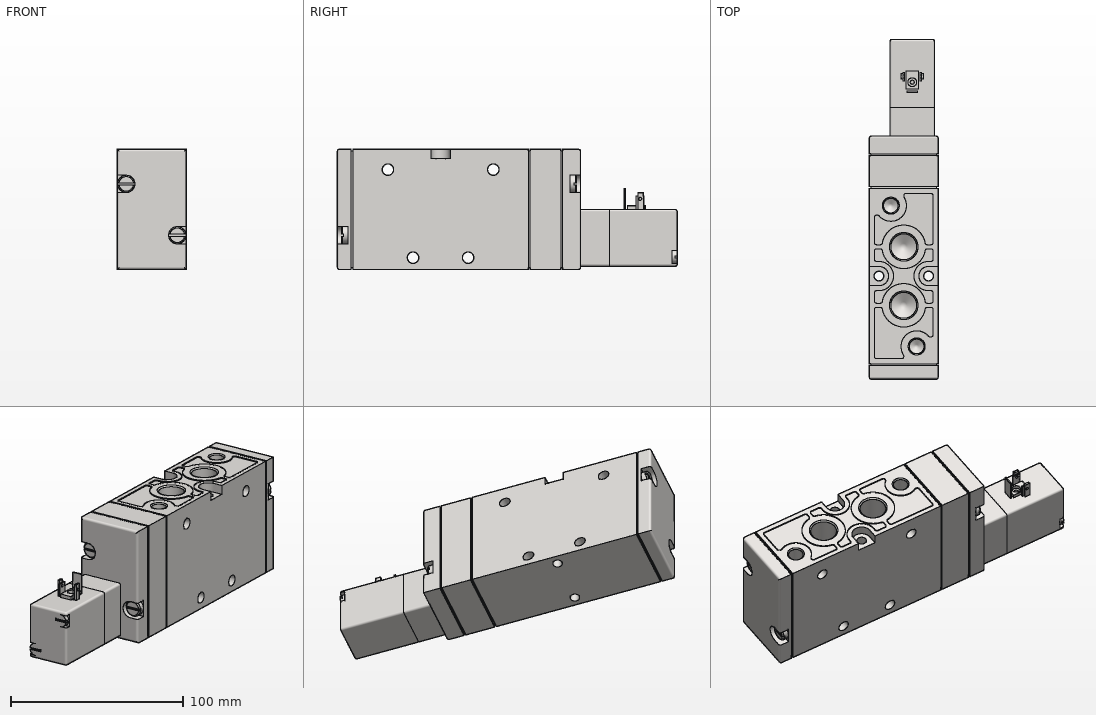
import cadquery as cq
import math

total_length = 197.5
valve_width = 40.0
valve_height = 70.0
valve_edge_radius = 1.4

valve_length = 141.5
cap_length = 8.0
spacer_length = 18.0
rear_cap_length = 10.5
groove_width = 1.0
groove_depth = 1.0
front_groove_y = cap_length
rear_groove_y = valve_length - rear_cap_length - groove_width
middle_groove_y = rear_groove_y - spacer_length - groove_width
block_center_y = (front_groove_y + groove_width + middle_groove_y) / 2

main_port_diameter = 15.0
main_port_rim = 16.5
main_port_offset_y = 17.0
pilot_port_diameter = 8.5
pilot_port_rim = 9.9
pilot_port_offset_x = 7.5
pilot_port_offset_y = 40.9
port_depth = 19.8
drill_point_angle = 118.0

mount_offset_x = 14.5
mount_diameter = 5.5
mount_recess_width = 11.3
mount_recess_depth = 5.5

cross_hole_diameter = 6.5
upper_cross_z = 58.0
upper_cross_offset_y = 30.6
lower_cross_z = 7.0
lower_cross_offset_y = 16.0

sunk_depth = 0.5
sunk_half_width = 17.0
sunk_end_offset = 48.0
main_land_diameter = 25.3
pilot_land_diameter = 18.2
pilot_land_start_offset = 35.4
mount_land_width = 17.0
land_bar_width = 2.4
sunk_corner_radius = 1.2

cap_screw_diameter = 10.0
cap_screw_offset_x = 14.8
cap_screw_high_z = 49.8
cap_screw_low_z = 20.0
cap_recess_depth = 6.1
cap_head_height = 3.8
cap_head_chamfer = 0.8

screw_slot_width = 1.2
screw_slot_depth = 1.4

solenoid_width = 26.0
solenoid_height = 33.2
solenoid_center_x = 5.0
solenoid_bottom_z = 1.8
solenoid_edge_radius = 1.4
seam_y = 158.0
solenoid_center_z = solenoid_bottom_z + solenoid_height / 2
solenoid_top_z = solenoid_bottom_z + solenoid_height

coil_screw_diameter = 7.5
coil_screw_inset = 4.1
coil_screw_offset_z = 11.0
coil_recess_depth = 3.0
coil_head_chamfer = 0

pad_width = 7.1
pad_length = 10.5
pad_height = 2.2
pad_center_y = 173.8
pad_hole_y = 172.6
pad_hole_diameter = 5.1
pad_thread_diameter = 2.4
pad_thread_depth = 6.0

terminal_center_y = 175.8
terminal_offset_x = 4.5
blade_thickness = 0.8
blade_width = 4.7
blade_height = 7.9
strip_center_y = 176.2
strip_thickness = 1.2
strip_width = 3.2
strip_height = 9.7
terminal_hole_diameter = 1.6
terminal_hole_y = 176.0
terminal_hole_height = 6.1

earth_y = 167.0
earth_width = 6.1
earth_thickness = 0.8
earth_height = 12.0


def block(x_size, y_size, z_size, center_x, start_y, bottom_z):
    """Box centred in X on center_x, starting at start_y and standing on bottom_z."""
    box = cq.Workplane("XY").box(x_size, y_size, z_size, centered=(True, False, False))
    return box.translate((center_x, start_y, bottom_z))


def upright_cylinder(diameter, height, x, y, bottom_z):
    return cq.Workplane("XY").circle(diameter / 2).extrude(height).translate((x, y, bottom_z))


def half_turned(shape):
    """The shape turned half a turn about the vertical axis of the port block."""
    return shape.rotate((0, block_center_y, 0), (0, block_center_y, 1), 180)


def groove(start_y):
    """Ring that is cut around the valve body."""
    ring = block(valve_width, groove_width, valve_height, 0, start_y, 0)
    core_width = valve_width - 2 * groove_depth
    core_height = valve_height - 2 * groove_depth
    core = block(core_width, groove_width, core_height, 0, start_y, groove_depth)
    return ring.cut(core)


def port(diameter, rim_diameter, x, y):
    """Drilled port with a countersunk rim and a conical bottom."""
    radius = diameter / 2
    rim_radius = rim_diameter / 2
    rim_depth = rim_radius - radius
    point_depth = radius / math.tan(math.radians(drill_point_angle / 2))
    profile = (
        cq.Workplane("XZ")
        .polyline([
            (0, 0),
            (rim_radius, 0),
            (radius, -rim_depth),
            (radius, -port_depth),
            (0, -port_depth - point_depth),
        ])
        .close()
    )
    return profile.revolve(360, (0, 0, 0), (0, 1, 0)).translate((x, y, valve_height))


def mount_slot(width, depth, side):
    """Round-ended slot sunk from the top around a mounting hole and open to one side."""
    bottom_z = valve_height - depth
    slot_length = valve_width / 2 - mount_offset_x
    slot_center_x = side * (mount_offset_x + slot_length / 2)
    slot = block(slot_length, width, depth, slot_center_x, block_center_y - width / 2, bottom_z)
    return slot.union(upright_cylinder(width, depth, side * mount_offset_x, block_center_y, bottom_z))


def mount_recesses():
    cutter = cq.Workplane("XY")
    for side in (-1, 1):
        cutter = cutter.union(mount_slot(mount_recess_width, mount_recess_depth, side))
        cutter = cutter.union(
            upright_cylinder(mount_diameter, valve_height, side * mount_offset_x, block_center_y, 0)
        )
    return cutter


def cross_holes():
    places = []
    for side in (-1, 1):
        places.append((block_center_y + side * upper_cross_offset_y, upper_cross_z))
        places.append((block_center_y + side * lower_cross_offset_y, lower_cross_z))
    return (
        cq.Workplane("YZ", origin=(-valve_width / 2, 0, 0))
        .pushPoints(places)
        .circle(cross_hole_diameter / 2)
        .extrude(valve_width)
    )


def sunk_box(start_offset, end_offset):
    """Full-width sunk area between two Y offsets from the block centre."""
    return block(
        2 * sunk_half_width,
        end_offset - start_offset,
        sunk_depth,
        0,
        block_center_y + start_offset,
        valve_height - sunk_depth,
    )


def sunk_land(diameter, x, offset_y):
    """Round land; its seam faces -X, away from the corners that get rounded."""
    land = upright_cylinder(diameter, sunk_depth, 0, 0, valve_height - sunk_depth)
    return land.rotate((0, 0, 0), (0, 0, 1), 180).translate((x, block_center_y + offset_y, 0))


def corner_land(width, start_offset):
    """Land in the -X, +Y corner that joins the land of the pilot port to the rim."""
    return block(
        width,
        sunk_end_offset - start_offset,
        sunk_depth,
        width / 2 - sunk_half_width,
        block_center_y + start_offset,
        valve_height - sunk_depth,
    )


def sunk_end_area():
    """Sunk area beyond the rear main port, leaving lands around that port and its pilot port."""
    area = sunk_box(main_port_offset_y + land_bar_width / 2, sunk_end_offset)
    area = area.cut(sunk_land(main_land_diameter, 0, main_port_offset_y))
    area = area.cut(sunk_land(pilot_land_diameter, -pilot_port_offset_x, pilot_port_offset_y))
    area = area.cut(corner_land(sunk_half_width, pilot_port_offset_y))
    area = area.cut(corner_land(sunk_half_width - pilot_port_offset_x, pilot_land_start_offset))
    return area.edges("|Z").fillet(sunk_corner_radius)


def sunk_middle_area():
    """Sunk area between the main ports, leaving lands around the ports and mounting recesses."""
    half_length = main_port_offset_y - land_bar_width / 2
    area = sunk_box(-half_length, half_length)
    for side in (-1, 1):
        area = area.cut(sunk_land(main_land_diameter, 0, side * main_port_offset_y))
        area = area.cut(mount_slot(mount_land_width, sunk_depth, side))
    return area.edges("|Z and (<X or >X or <Y or >Y)").fillet(sunk_corner_radius)


def screw_recess(diameter, depth, center_x, open_side, z, face_y, inward):
    """Round-ended recess in an end face, open to the side the screw stands close to."""
    round_end = end_cylinder(diameter, depth, center_x, z, face_y, inward)
    start_y = min(face_y, face_y + inward * depth)
    radius = diameter / 2
    opening = block(diameter, depth, diameter, center_x + open_side * radius, start_y, z - radius)
    return round_end.union(opening)


def end_cylinder(diameter, length, x, z, start_y, direction):
    """Cylinder along Y from start_y, toward +Y or -Y."""
    normal = (0, direction, 0)
    plane = cq.Plane(origin=(x, start_y, z), xDir=(1, 0, 0), normal=normal)
    return cq.Workplane(plane).circle(diameter / 2).extrude(length)


def screw_head(diameter, height, chamfer, x, z, base_y, outward):
    """Slotted head standing on the bottom of its recess, with a horizontal driver slot."""
    head = end_cylinder(diameter, height, x, z, base_y, outward)
    if chamfer > 0:
        head = head.faces(">Y" if outward > 0 else "<Y").edges().chamfer(chamfer)
    top_y = base_y + outward * height
    slot_start_y = min(top_y, top_y - outward * screw_slot_depth)
    slot = block(diameter, screw_slot_depth, screw_slot_width, x, slot_start_y, z - screw_slot_width / 2)
    return head.cut(slot)


def add_screw_in_recess(body, diameter, recess_depth, head_height, chamfer, x, open_side, z, face_y, inward):
    body = body.cut(screw_recess(diameter, recess_depth, x, open_side, z, face_y, inward))
    base_y = face_y + inward * recess_depth
    return body.union(screw_head(diameter, head_height, chamfer, x, z, base_y, -inward))


def solenoid_block(start_y, end_y):
    """Length of the solenoid with its four long edges rounded."""
    length = end_y - start_y
    box = block(solenoid_width, length, solenoid_height, solenoid_center_x, start_y, solenoid_bottom_z)
    return box.edges("|Y").fillet(solenoid_edge_radius)


def make_valve():
    """Valve body with its end caps, screws and the stub that carries the coil."""
    valve = block(valve_width, valve_length, valve_height, 0, 0, 0)
    valve = valve.faces("<Y or >Y").edges().fillet(valve_edge_radius)

    for start_y in (front_groove_y, middle_groove_y, rear_groove_y):
        valve = valve.cut(groove(start_y))

    for side in (-1, 1):
        main_port_y = block_center_y + side * main_port_offset_y
        valve = valve.cut(port(main_port_diameter, main_port_rim, 0, main_port_y))
        pilot_port_x = -side * pilot_port_offset_x
        pilot_port_y = block_center_y + side * pilot_port_offset_y
        valve = valve.cut(port(pilot_port_diameter, pilot_port_rim, pilot_port_x, pilot_port_y))

    valve = valve.cut(mount_recesses())
    valve = valve.cut(cross_holes())

    end_area = sunk_end_area()
    for area in (end_area, half_turned(end_area), sunk_middle_area()):
        valve = valve.cut(area)

    for face_y, inward in ((0, 1), (valve_length, -1)):
        for side in (-1, 1):
            screw_z = cap_screw_high_z if side * inward < 0 else cap_screw_low_z
            valve = add_screw_in_recess(
                valve, cap_screw_diameter, cap_recess_depth, cap_head_height, cap_head_chamfer,
                side * cap_screw_offset_x, side, screw_z, face_y, inward,
            )

    return valve.union(solenoid_block(valve_length - valve_edge_radius, seam_y))


def connector_pad():
    pad = block(
        pad_width, pad_length, pad_height, solenoid_center_x, pad_center_y - pad_length / 2, solenoid_top_z
    )
    hole = upright_cylinder(pad_hole_diameter, pad_height, solenoid_center_x, pad_hole_y, solenoid_top_z)
    return pad.cut(hole)


def side_terminal(side):
    """Blade with a narrower, taller strip on its outer face and a hole through both."""
    inner_x = solenoid_center_x + side * terminal_offset_x
    blade = block(
        blade_thickness, blade_width, blade_height,
        inner_x + side * blade_thickness / 2, terminal_center_y - blade_width / 2, solenoid_top_z,
    )
    strip_x = inner_x + side * (blade_thickness + strip_thickness / 2)
    strip = block(
        strip_thickness, strip_width, strip_height, strip_x, strip_center_y - strip_width / 2, solenoid_top_z
    )
    hole = (
        cq.Workplane("YZ", origin=(inner_x, terminal_hole_y, solenoid_top_z + terminal_hole_height))
        .circle(terminal_hole_diameter / 2)
        .extrude(side * (blade_thickness + strip_thickness))
    )
    return blade.union(strip).cut(hole)


def make_coil():
    """Coil with its end screws, connector pad and three terminals."""
    coil = solenoid_block(seam_y, total_length)
    coil = coil.faces(">Y").edges().fillet(solenoid_edge_radius)

    for side in (-1, 1):
        screw_x = solenoid_center_x + side * (solenoid_width / 2 - coil_screw_inset)
        screw_z = solenoid_center_z - side * coil_screw_offset_z
        coil = add_screw_in_recess(
            coil, coil_screw_diameter, coil_recess_depth, coil_recess_depth, coil_head_chamfer,
            screw_x, side, screw_z, total_length, -1,
        )

    coil = coil.union(connector_pad())
    thread_start_z = solenoid_top_z - pad_thread_depth
    coil = coil.cut(
        upright_cylinder(pad_thread_diameter, pad_thread_depth, solenoid_center_x, pad_hole_y, thread_start_z)
    )
    for side in (-1, 1):
        coil = coil.union(side_terminal(side))
    return coil.union(
        block(
            earth_width, earth_thickness, earth_height,
            solenoid_center_x, earth_y - earth_thickness / 2, solenoid_top_z,
        )
    )


valve = make_valve()
coil = make_coil()
result = cq.Compound.makeCompound([valve.val(), coil.val()])